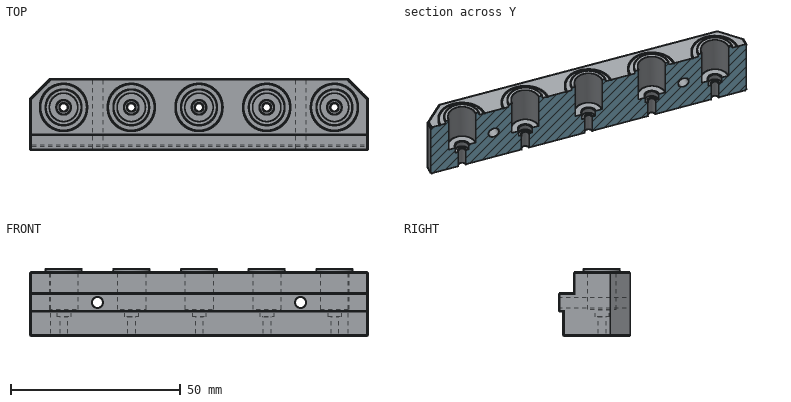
import cadquery as cq
import math

length = 100.0
depth = 21.2
height = 19.0
lower_face_y = 1.2
upper_face_y = 4.4
lip_bottom = 7.2
lip_top = 12.8
corner_cut = 6.0
edge_chamfer = 0.4

socket_count = 5
socket_pitch = 20.0
socket_y = 12.7
seat_diameter = 14.2
flange_chamfer = 0.3
collar_top = 20.0
collar_diameter = 10.8
collar_top_chamfer = 0.2
foot_radius = 0.3
bore_diameter = 8.4
bore_depth = 12.0
pilot_diameter = 4.1
pilot_depth = 2.0
outlet_diameter = 2.3
mouth_chamfer = 0.2

mount_diameter = 3.2
mount_spacing = 60.0
mount_z = 10.0


def is_broken_edge(edge):
    """True for every edge except the bevels' verticals and the two inside corners of the lip."""
    tolerance = 0.01
    center = edge.Center()
    is_behind_bevel = center.y > depth - corner_cut - tolerance
    is_vertical = edge.BoundingBox().zlen > tolerance
    lip_corners = [(upper_face_y, lip_top), (lower_face_y, lip_bottom)]
    is_inside_corner = any(math.hypot(center.y - y, center.z - z) < tolerance for y, z in lip_corners)
    is_bevel_vertical = is_behind_bevel and is_vertical
    return not (is_bevel_vertical or is_inside_corner)


def make_rail():
    """Stepped bar with bevelled rear corners and broken edges."""
    rail = (
        cq.Workplane("YZ")
        .moveTo(lower_face_y, 0)
        .lineTo(depth, 0)
        .lineTo(depth, height)
        .lineTo(upper_face_y, height)
        .lineTo(upper_face_y, lip_top)
        .lineTo(0, lip_top)
        .lineTo(0, lip_bottom)
        .lineTo(lower_face_y, lip_bottom)
        .close()
        .extrude(length / 2, both=True)
    )
    rail = rail.edges("|Z and >Y").chamfer(corner_cut)
    return rail.edges().filter(is_broken_edge).chamfer(edge_chamfer)


def make_seat_cut():
    """Round seat sunk into the rail down to the foot of the flange chamfer."""
    return cq.Workplane("XY").workplane(offset=height).circle(seat_diameter / 2).extrude(-flange_chamfer)


def make_bushing_top():
    """Chamfered flange flush with the rail, and the collar standing on it with a hollow-rounded foot."""
    seat_radius = seat_diameter / 2
    collar_radius = collar_diameter / 2
    foot_center_radius = collar_radius + foot_radius
    foot_center_z = height + foot_radius
    foot_middle_offset = foot_radius * math.sqrt(0.5)
    return (
        cq.Workplane("XZ")
        .moveTo(0, height - flange_chamfer)
        .lineTo(seat_radius, height - flange_chamfer)
        .lineTo(seat_radius - flange_chamfer, height)
        .lineTo(foot_center_radius, height)
        .threePointArc(
            (foot_center_radius - foot_middle_offset, foot_center_z - foot_middle_offset),
            (collar_radius, foot_center_z),
        )
        .lineTo(collar_radius, collar_top - collar_top_chamfer)
        .lineTo(collar_radius - collar_top_chamfer, collar_top)
        .lineTo(0, collar_top)
        .close()
        .revolve(360, (0, 0, 0), (0, 1, 0))
    )


def make_bore_cut():
    """Bore, pilot and through outlet, with chamfers on the two lower mouths."""
    bore_floor = collar_top - bore_depth
    pilot_floor = bore_floor - pilot_depth
    bore_radius = bore_diameter / 2
    pilot_radius = pilot_diameter / 2
    outlet_radius = outlet_diameter / 2
    profile = [
        (0, 0),
        (outlet_radius, 0),
        (outlet_radius, pilot_floor - mouth_chamfer),
        (outlet_radius + mouth_chamfer, pilot_floor),
        (pilot_radius, pilot_floor),
        (pilot_radius, bore_floor - mouth_chamfer),
        (pilot_radius + mouth_chamfer, bore_floor),
        (bore_radius, bore_floor),
        (bore_radius, collar_top),
        (0, collar_top),
    ]
    return cq.Workplane("XZ").polyline(profile).close().revolve(360, (0, 0, 0), (0, 1, 0))


result = make_rail()

seat_cut = make_seat_cut()
bushing_top = make_bushing_top()
bore_cut = make_bore_cut()
for index in range(socket_count):
    socket_x = (index - (socket_count - 1) / 2) * socket_pitch
    place = (socket_x, socket_y, 0)
    result = result.cut(seat_cut.translate(place))
    result = result.union(bushing_top.translate(place))
    result = result.cut(bore_cut.translate(place))

mount_holes = (
    cq.Workplane("XZ")
    .pushPoints([(-mount_spacing / 2, mount_z), (mount_spacing / 2, mount_z)])
    .circle(mount_diameter / 2)
    .extrude(-depth)
)
result = result.cut(mount_holes)